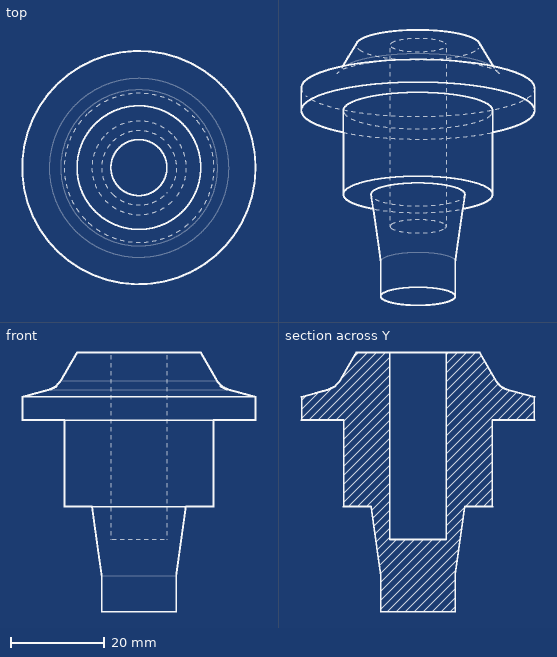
import cadquery as cq
import math

total_height = 55.5
tip_length = 7.75
taper_top = 22.5
flange_bottom = 41.0
flange_thickness = 5.0

tip_diameter = 16.0
body_diameter = 32.0
flange_diameter = 50.0
head_top_diameter = 26.5

taper_half_angle = math.radians(8)

flange_slope = math.radians(15)
head_slope = math.radians(60)
neck_fillet_radius = 4.0

bore_diameter = 12.0
bore_depth = 40.0

flange_rim = flange_bottom + flange_thickness
taper_top_radius = tip_diameter / 2 + (taper_top - tip_length) * math.tan(taper_half_angle)


def neck_corner():
    """Radius and height where the flange cone meets the head cone."""
    flange_tan = math.tan(flange_slope)
    head_tan = math.tan(head_slope)
    flange_apex = flange_rim + flange_diameter / 2 * flange_tan
    head_apex = total_height + head_top_diameter / 2 * head_tan
    radius = (head_apex - flange_apex) / (head_tan - flange_tan)
    return radius, flange_apex - radius * flange_tan


def turned_body():
    """Solid of revolution, with the neck between the two cones rounded."""
    corner_radius, corner_height = neck_corner()
    body = (
        cq.Workplane("XZ")
        .lineTo(tip_diameter / 2, 0)
        .lineTo(tip_diameter / 2, tip_length)
        .lineTo(taper_top_radius, taper_top)
        .lineTo(body_diameter / 2, taper_top)
        .lineTo(body_diameter / 2, flange_bottom)
        .lineTo(flange_diameter / 2, flange_bottom)
        .lineTo(flange_diameter / 2, flange_rim)
        .lineTo(corner_radius, corner_height)
        .lineTo(head_top_diameter / 2, total_height)
        .lineTo(0, total_height)
        .close()
        .revolve(360, (0, 0, 0), (0, 1, 0))
    )
    neck_edge = cq.selectors.NearestToPointSelector((0, 0, corner_height))
    return body.edges("%CIRCLE").edges(neck_edge).fillet(neck_fillet_radius)


def bore():
    """Flat-bottomed cylinder cut down from the top of the head."""
    return (
        cq.Workplane("XY")
        .workplane(offset=total_height - bore_depth)
        .circle(bore_diameter / 2)
        .extrude(bore_depth)
    )


result = turned_body().cut(bore())